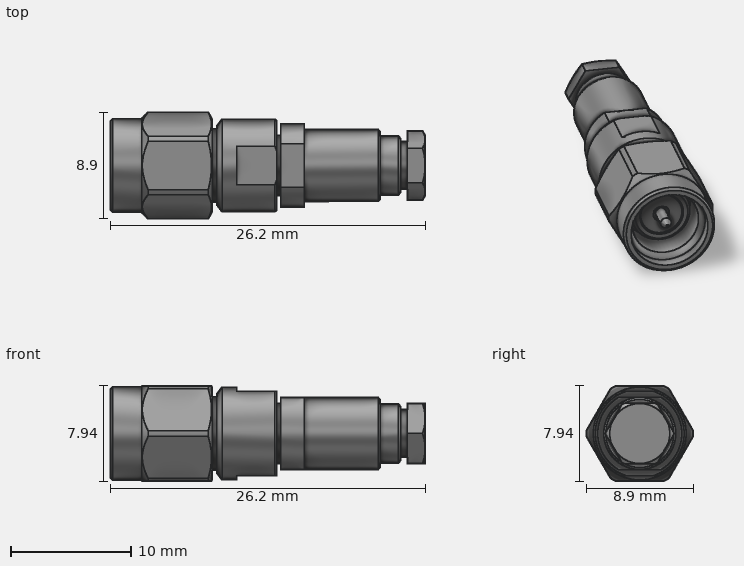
import cadquery as cq
import math


HEX_HALF_ANGLE = 30

TOTAL_LENGTH = 26.23
NUT_HEX_START = 2.6
NUT_END = 8.48
BODY_START = 8.88
BODY_FLAT_START = 10.55
BODY_END = 13.88
COLLAR_START = 14.18
COLLAR_END = 16.17
BARREL_END = 22.47
SLEEVE_END = 24.2
REAR_HEX_START = 24.75

NUT_ACROSS_FLATS = 7.94
NUT_CORNER_RADIUS = 4.45
NUT_FRONT_RADIUS = 3.9
NUT_FRONT_CHAMFER = 0.21
NUT_REAR_CHAMFER_RADIUS = 3.87
NUT_REAR_CHAMFER_LENGTH = 0.32

OVERSIZE = 2 * NUT_ACROSS_FLATS

ENTRY_RADIUS = 3.28
ENTRY_DEPTH = 1.0
BORE_RADIUS = 2.82
BORE_DEPTH = 4.5

FERRULE_FRONT = 2.9
FERRULE_RADIUS = 2.48
FERRULE_OUTER_CHAMFER = 0.24
DIELECTRIC_RADIUS = 1.76
FERRULE_INNER_CHAMFER = 0.1

PIN_RADIUS = 0.46
PIN_TIP = 0.76
PIN_TIP_RADIUS = 0.1
PIN_CONE_LENGTH = 0.55
PIN_GAP_RADIUS = 0.68
PIN_GAP_DEPTH = 0.2

NECK_RADIUS = 3.08
BODY_RADIUS = 3.87
BODY_FRONT_CHAMFER_RADIUS = 3.3
BODY_FRONT_CHAMFER_LENGTH = 0.43
BODY_ACROSS_FLATS = 7.04
GROOVE_RADIUS = 2.54
COLLAR_RADIUS = 3.5
BARREL_RADIUS = 3.0
COLLAR_ACROSS_FLATS = 2 * BARREL_RADIUS
EDGE_CHAMFER = 0.17

SLEEVE_RADIUS = 2.47
SLEEVE_CHAMFER_RADIUS = 2.2
SLEEVE_CHAMFER_LENGTH = 0.2
REAR_NECK_RADIUS = 2.0
REAR_ACROSS_FLATS = 5.0
REAR_CHAMFER_ANGLE = 30


def revolve(profile):
    """Revolve an outline of (x, radius) points around the X axis."""
    outline = cq.Workplane("XY").polyline(profile).close()
    return outline.revolve(360, (0, 0, 0), (1, 0, 0))


def cylinder(radius, start, end):
    return cq.Workplane("YZ").workplane(offset=start).circle(radius).extrude(end - start)


def hex_prism(across_flats, start, end):
    """Hexagonal prism along X with corners on +Y and -Y, flats on +Z and -Z."""
    across_corners = across_flats / math.cos(math.radians(HEX_HALF_ANGLE))
    return cq.Workplane("YZ").workplane(offset=start).polygon(6, across_corners).extrude(end - start)


def flat_slab(thickness, start, end):
    """Slab of the given Z thickness, wide enough to trim any section to two flats."""
    length = end - start
    return cq.Workplane("XY").box(length, OVERSIZE, thickness).translate((start + length / 2, 0, 0))


def coupling_nut():
    front = revolve([
        (0, 0),
        (0, NUT_FRONT_RADIUS - NUT_FRONT_CHAMFER),
        (NUT_FRONT_CHAMFER, NUT_FRONT_RADIUS),
        (NUT_HEX_START, NUT_FRONT_RADIUS),
        (NUT_HEX_START, 0),
    ])
    corner_rise = NUT_CORNER_RADIUS - NUT_FRONT_RADIUS
    corner_envelope = revolve([
        (NUT_HEX_START, 0),
        (NUT_HEX_START, NUT_FRONT_RADIUS),
        (NUT_HEX_START + corner_rise, NUT_CORNER_RADIUS),
        (NUT_END - NUT_REAR_CHAMFER_LENGTH, NUT_CORNER_RADIUS),
        (NUT_END, NUT_REAR_CHAMFER_RADIUS),
        (NUT_END, 0),
    ])
    hexagon = hex_prism(NUT_ACROSS_FLATS, NUT_HEX_START, NUT_END).intersect(corner_envelope)
    cone_end = ENTRY_DEPTH + ENTRY_RADIUS - BORE_RADIUS
    bore = revolve([
        (0, 0),
        (0, ENTRY_RADIUS),
        (ENTRY_DEPTH, ENTRY_RADIUS),
        (cone_end, BORE_RADIUS),
        (BORE_DEPTH, BORE_RADIUS),
        (BORE_DEPTH, 0),
    ])
    return front.union(hexagon).cut(bore)


def contact():
    """Ferrule with recessed dielectric face and blunt-pointed centre pin."""
    dielectric_face = FERRULE_FRONT + FERRULE_INNER_CHAMFER
    gap_floor = dielectric_face + PIN_GAP_DEPTH
    return revolve([
        (PIN_TIP, 0),
        (PIN_TIP, PIN_TIP_RADIUS),
        (PIN_TIP + PIN_CONE_LENGTH, PIN_RADIUS),
        (gap_floor, PIN_RADIUS),
        (gap_floor, PIN_GAP_RADIUS),
        (dielectric_face, PIN_GAP_RADIUS),
        (dielectric_face, DIELECTRIC_RADIUS),
        (FERRULE_FRONT, DIELECTRIC_RADIUS + FERRULE_INNER_CHAMFER),
        (FERRULE_FRONT, FERRULE_RADIUS - FERRULE_OUTER_CHAMFER),
        (FERRULE_FRONT + FERRULE_OUTER_CHAMFER, FERRULE_RADIUS),
        (BODY_START, FERRULE_RADIUS),
        (BODY_START, 0),
    ])


def body():
    """Round body whose rear part is trimmed to two wrench flats."""
    round_body = revolve([
        (BODY_START, 0),
        (BODY_START, BODY_FRONT_CHAMFER_RADIUS),
        (BODY_START + BODY_FRONT_CHAMFER_LENGTH, BODY_RADIUS),
        (BODY_END - EDGE_CHAMFER, BODY_RADIUS),
        (BODY_END, BODY_RADIUS - EDGE_CHAMFER),
        (BODY_END, 0),
    ])
    trim = flat_slab(OVERSIZE, BODY_FLAT_START, BODY_END)
    trim = trim.cut(flat_slab(BODY_ACROSS_FLATS, BODY_FLAT_START, BODY_END))
    front_neck = cylinder(NECK_RADIUS, NUT_END, BODY_START)
    return round_body.cut(trim).union(front_neck)


def barrel():
    """Groove, flatted collar and plain barrel behind the body."""
    groove = cylinder(GROOVE_RADIUS, BODY_END, COLLAR_START)
    collar = cylinder(COLLAR_RADIUS, COLLAR_START, COLLAR_END)
    collar = collar.intersect(flat_slab(COLLAR_ACROSS_FLATS, COLLAR_START, COLLAR_END))
    tube = cylinder(BARREL_RADIUS, COLLAR_END, BARREL_END).faces(">X").chamfer(EDGE_CHAMFER)
    return groove.union(collar).union(tube)


def clamp_nut():
    """Round sleeve, neck and chamfered hexagon at the cable end."""
    sleeve = revolve([
        (BARREL_END, 0),
        (BARREL_END, SLEEVE_RADIUS),
        (SLEEVE_END - SLEEVE_CHAMFER_LENGTH, SLEEVE_RADIUS),
        (SLEEVE_END, SLEEVE_CHAMFER_RADIUS),
        (SLEEVE_END, REAR_NECK_RADIUS),
        (REAR_HEX_START, REAR_NECK_RADIUS),
        (REAR_HEX_START, 0),
    ])
    inscribed_radius = REAR_ACROSS_FLATS / 2
    corner_radius = inscribed_radius / math.cos(math.radians(HEX_HALF_ANGLE))
    chamfer_length = (corner_radius - inscribed_radius) * math.tan(math.radians(REAR_CHAMFER_ANGLE))
    corner_envelope = revolve([
        (REAR_HEX_START, 0),
        (REAR_HEX_START, corner_radius),
        (TOTAL_LENGTH - chamfer_length, corner_radius),
        (TOTAL_LENGTH, inscribed_radius),
        (TOTAL_LENGTH, 0),
    ])
    hexagon = hex_prism(REAR_ACROSS_FLATS, REAR_HEX_START, TOTAL_LENGTH).intersect(corner_envelope)
    return sleeve.union(hexagon)


result = coupling_nut().union(contact()).union(body()).union(barrel()).union(clamp_nut())